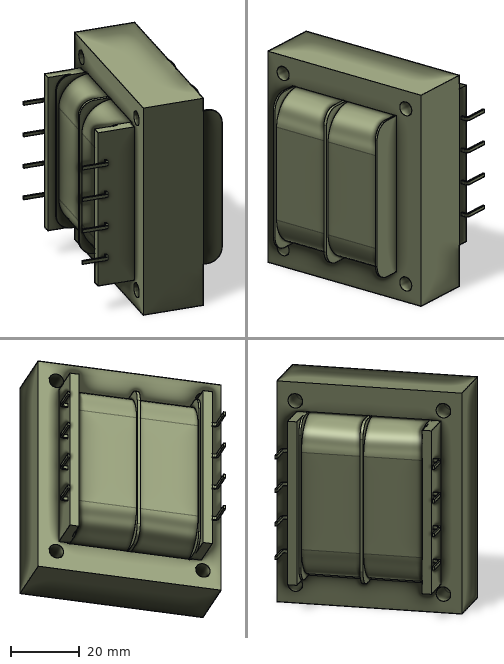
import cadquery as cq

core_width = 55.55
core_depth = 18.75
core_height = 66.7
hole_side_inset = 5.55
hole_end_inset = 5.7
hole_diameter = 4.35

bobbin_width = 37.6
bobbin_depth = 37.5
bobbin_height = 49.35
end_flange_thickness = 0.6
mid_flange_thickness = 0.95
flange_corner_radius = 4.7

winding_depth = 35.95
winding_height = 48.3
winding_corner_radius = 9.5

block_thickness = 2.8
block_front = -21.15
block_back = -9.8
block_outer_x = bobbin_width / 2 + block_thickness

pins_per_block = 4
pin_pitch = 10.15
pin_thickness = 0.6
pin_width = 1.0
pin_outer_x = 23.95
pin_back = -18.55
pin_tip = -26.9
pin_bend_radius = 1.1


def rounded_slab(length, depth, height, radius):
    """Slab of the given length along X with rounded corners in the YZ plane."""
    return cq.Workplane("XY").box(length, depth, height).edges("|X").fillet(radius)


def core():
    """Core plate with corner mounting holes and an open window for the bobbin."""
    plate = cq.Workplane("XY").box(core_width, core_depth, core_height)
    holes = (
        cq.Workplane("XZ")
        .rect(
            core_width - 2 * hole_side_inset,
            core_height - 2 * hole_end_inset,
            forConstruction=True,
        )
        .vertices()
        .circle(hole_diameter / 2)
        .extrude(core_depth, both=True)
    )
    window = cq.Workplane("XY").box(bobbin_width, core_depth, bobbin_height)
    return plate.cut(holes).cut(window)


def flange(x_center, thickness):
    """Bobbin flange centred at the given X."""
    slab = rounded_slab(thickness, bobbin_depth, bobbin_height, flange_corner_radius)
    return slab.translate((x_center, 0, 0))


def terminal_block():
    """Block on the +X end flange."""
    return cq.Workplane("XY").box(
        block_thickness, block_back - block_front, bobbin_height
    ).translate((block_outer_x - block_thickness / 2, (block_front + block_back) / 2, 0))


def pin(z_center):
    """Pin rooted inside the +X block, leaving it sideways and bending toward -Y."""
    root_x = block_outer_x - block_thickness / 2
    inner_bend_radius = pin_bend_radius - pin_thickness
    bend_center_x = pin_outer_x - pin_bend_radius
    bend_center_y = pin_back - pin_bend_radius
    return (
        cq.Workplane("XY", origin=(0, 0, z_center - pin_width / 2))
        .moveTo(root_x, pin_back)
        .lineTo(bend_center_x, pin_back)
        .radiusArc((pin_outer_x, bend_center_y), pin_bend_radius)
        .lineTo(pin_outer_x, pin_tip)
        .lineTo(pin_outer_x - pin_thickness, pin_tip)
        .lineTo(pin_outer_x - pin_thickness, bend_center_y)
        .radiusArc((bend_center_x, pin_back - pin_thickness), -inner_bend_radius)
        .lineTo(root_x, pin_back - pin_thickness)
        .close()
        .extrude(pin_width)
    )


def bobbin_end():
    """+X end flange together with its terminal block and pins."""
    flange_x = (bobbin_width - end_flange_thickness) / 2
    end = flange(flange_x, end_flange_thickness).union(terminal_block())
    for index in range(pins_per_block):
        z_center = (index - (pins_per_block - 1) / 2) * pin_pitch
        end = end.union(pin(z_center))
    return end


winding = rounded_slab(
    bobbin_width - 2 * end_flange_thickness, winding_depth, winding_height, winding_corner_radius
)
right_end = bobbin_end()
left_end = right_end.mirror("YZ")
mid_flange = flange(0, mid_flange_thickness)
result = core().union(winding).union(mid_flange).union(right_end).union(left_end)